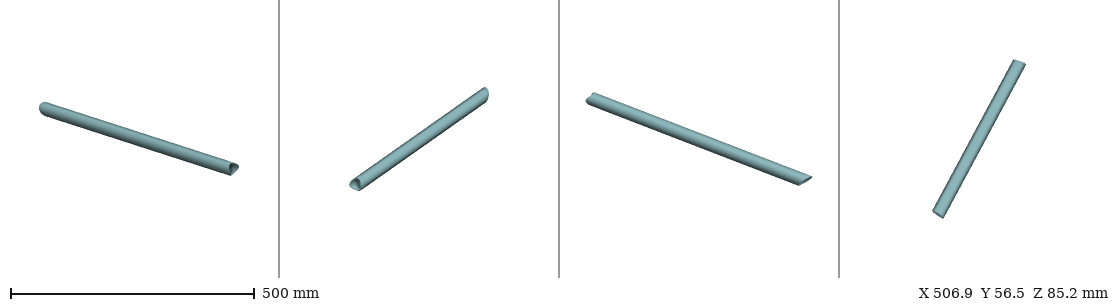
import cadquery as cq
import math

outer_diameter = 28.0
wall_thickness = 1.5

yaw_angle = -3.351
pitch_angle = 6.861

miter_angle = 37.34
miter_clock_angle = 34.84

saddle_radius = 15.0
saddle_distance = 503.64
saddle_clock_angle = 8.0

overrun = 2 * outer_diameter


def direction(angle_from_axis, clock_angle):
    """Unit vector in the tube frame: X is the upward side, Y the side toward -Y, Z the tube axis."""
    tilt = math.radians(angle_from_axis)
    clock = math.radians(clock_angle)
    return cq.Vector(
        math.sin(tilt) * math.cos(clock),
        math.sin(tilt) * math.sin(clock),
        math.cos(tilt),
    )


def raw_tube():
    """Straight tube along local Z, long enough for both end cuts."""
    outer_radius = outer_diameter / 2
    inner_radius = outer_radius - wall_thickness
    return (
        cq.Workplane("XY", origin=(0, 0, -overrun))
        .circle(outer_radius)
        .circle(inner_radius)
        .extrude(saddle_distance + overrun)
    )


def miter_cutter():
    """Block on the outer side of the miter plane at the low end."""
    normal = direction(miter_angle, miter_clock_angle)
    plane = cq.Plane(origin=(0, 0, 0), normal=normal)
    block_width = 4 * overrun
    return cq.Workplane(plane).rect(block_width, block_width).extrude(-2 * overrun)


def saddle_cutter():
    """Cylinder that crosses the tube squarely at the high end."""
    axis = direction(90, saddle_clock_angle)
    start = cq.Vector(0, 0, saddle_distance) - axis * overrun
    return cq.Workplane(cq.Plane(origin=start, normal=axis)).circle(saddle_radius).extrude(2 * overrun)


def tube_frame():
    """Plane at the miter whose normal is the tube axis and whose X direction is the upward side."""
    yaw = math.radians(yaw_angle)
    pitch = math.radians(pitch_angle)
    axis = (math.cos(pitch) * math.cos(yaw), math.cos(pitch) * math.sin(yaw), math.sin(pitch))
    upward = (-math.sin(pitch) * math.cos(yaw), -math.sin(pitch) * math.sin(yaw), math.cos(pitch))
    return cq.Plane(origin=(0, 0, 0), xDir=upward, normal=axis)


cut_tube = raw_tube().cut(miter_cutter()).cut(saddle_cutter())
placed_tube = cut_tube.val().moved(cq.Location(tube_frame()))
result = cq.Workplane("XY").newObject([placed_tube])